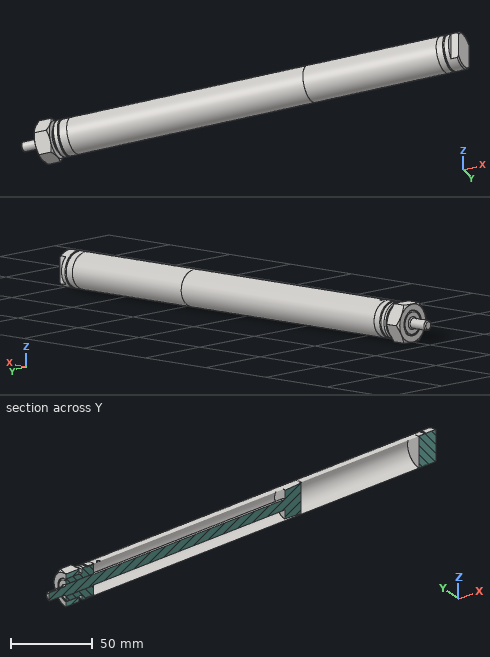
import cadquery as cq
import math


overall_length = 297.18
nut_front = 12.95
nut_thickness = 10.3
neck_front = nut_front
head_front = 25.15
tube_front = 29.05
tube_length = 259.65
tube_rear = tube_front + tube_length
rear_plug_length = 5.08
front_plug_length = 5.6

barrel_diameter = 23.52
tube_bore = 22.49
neck_diameter = 15.88
neck_end_diameter = 13.97
end_chamfer = 0.85

joint_bevel = (barrel_diameter - tube_bore) / 2

port_diameter = 2.39
port_place = 38.1

rod_tip_diameter = 6.35
rod_tip_chamfer = 0.76
rod_shank_diameter = 7.94
shank_start = 12.2
piston_front_diameter = 20.97
piston_rear = 193.8
piston_length = 12.7

flats_length = 5.08
flats_width = 15.88

nut_across_flats = 23.88
nut_chamfer_diameter = 23.7
nut_chamfer_angle = math.radians(30)


def along_x(start, diameter, length):
    """A round bar on the axis from X = start."""
    return cq.Workplane("YZ").workplane(offset=start).circle(diameter / 2).extrude(length)


def turned(outline):
    """A solid of revolution about the axis from (X, radius) points."""
    return cq.Workplane("XY").polyline(outline).close().revolve(360, (0, 0, 0), (1, 0, 0))


def make_nut():
    corner_radius = nut_across_flats / math.sqrt(3)
    chamfer_radius = nut_chamfer_diameter / 2
    chamfer_depth = (corner_radius - chamfer_radius) * math.tan(nut_chamfer_angle)
    nut_rear = nut_front + nut_thickness
    hexagon = (
        cq.Workplane("YZ")
        .workplane(offset=nut_front)
        .polygon(6, 2 * corner_radius)
        .extrude(nut_thickness)
    )
    envelope = turned(
        [
            (nut_front, 0),
            (nut_front, chamfer_radius),
            (nut_front + chamfer_depth, corner_radius),
            (nut_rear - chamfer_depth, corner_radius),
            (nut_rear, chamfer_radius),
            (nut_rear, 0),
        ]
    )
    return hexagon.intersect(envelope).cut(along_x(nut_front, neck_diameter, nut_thickness))


def make_head():
    barrel_radius = barrel_diameter / 2
    plug_radius = tube_bore / 2
    neck_radius = neck_diameter / 2
    neck_end_radius = neck_end_diameter / 2
    plug_end = tube_front + front_plug_length
    head = turned(
        [
            (neck_front, 0),
            (neck_front, neck_end_radius),
            (neck_front + neck_radius - neck_end_radius, neck_radius),
            (head_front, neck_radius),
            (head_front, barrel_radius - end_chamfer),
            (head_front + end_chamfer, barrel_radius),
            (tube_front - joint_bevel, barrel_radius),
            (tube_front, plug_radius),
            (plug_end, plug_radius),
            (plug_end, 0),
        ]
    )
    return head.cut(along_x(neck_front, rod_shank_diameter, plug_end - neck_front))


def make_tube():
    outer_radius = barrel_diameter / 2
    bore_radius = tube_bore / 2
    tube = turned(
        [
            (tube_front, bore_radius),
            (tube_front + joint_bevel, outer_radius),
            (tube_rear - joint_bevel, outer_radius),
            (tube_rear, bore_radius),
        ]
    )
    port = (
        cq.Workplane("XY")
        .center(port_place, 0)
        .circle(port_diameter / 2)
        .extrude(barrel_diameter / 2)
    )
    return tube.cut(port)


def make_rear_cap():
    barrel_radius = barrel_diameter / 2
    plug_radius = tube_bore / 2
    plug_end = tube_rear - rear_plug_length
    cap = turned(
        [
            (plug_end, 0),
            (plug_end, plug_radius),
            (tube_rear, plug_radius),
            (tube_rear + joint_bevel, barrel_radius),
            (overall_length - end_chamfer, barrel_radius),
            (overall_length, barrel_radius - end_chamfer),
            (overall_length, 0),
        ]
    )
    side_cut_width = (barrel_diameter - flats_width) / 2
    for side in (-1, 1):
        side_cut = cq.Workplane("XY").box(flats_length, side_cut_width, barrel_diameter)
        cut_x = overall_length - flats_length / 2
        cut_y = side * (flats_width + side_cut_width) / 2
        cap = cap.cut(side_cut.translate((cut_x, cut_y, 0)))
    return cap


def make_piston_rod():
    tip_radius = rod_tip_diameter / 2
    shank_radius = rod_shank_diameter / 2
    piston_front = piston_rear - piston_length
    return turned(
        [
            (0, 0),
            (0, tip_radius - rod_tip_chamfer),
            (rod_tip_chamfer, tip_radius),
            (shank_start, tip_radius),
            (shank_start + shank_radius - tip_radius, shank_radius),
            (piston_front, shank_radius),
            (piston_front, piston_front_diameter / 2),
            (piston_rear, tube_bore / 2),
            (piston_rear, 0),
        ]
    )


nut = make_nut()
head = make_head()
tube = make_tube()
rear_cap = make_rear_cap()
piston_rod = make_piston_rod()

result = cq.Compound.makeCompound(
    [nut.val(), head.val(), tube.val(), rear_cap.val(), piston_rod.val()]
)